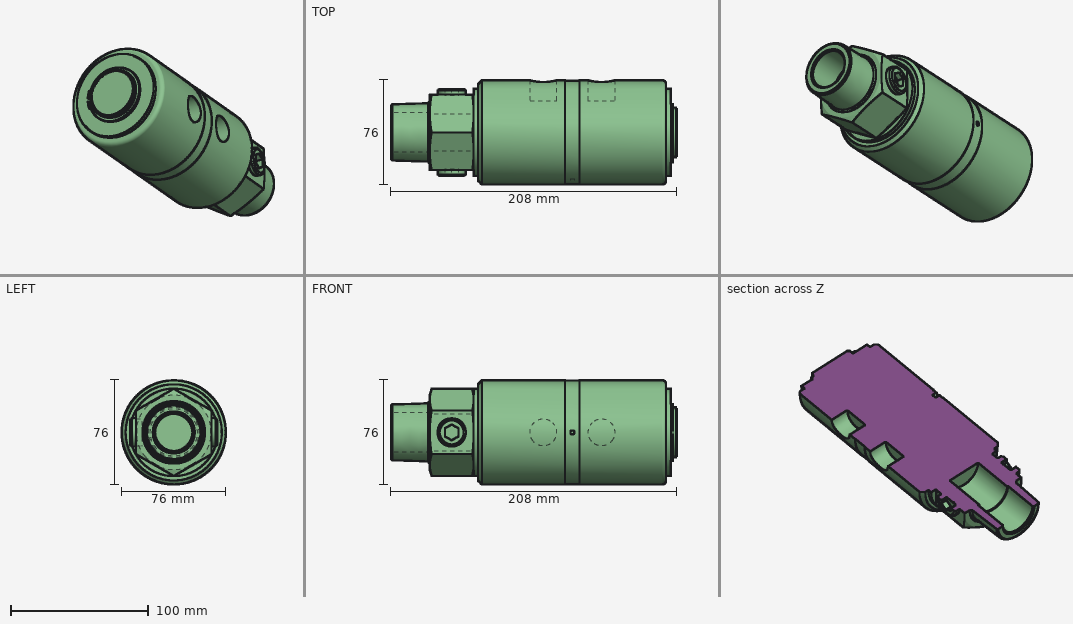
import cadquery as cq
import math


LENGTH = 208.0
COLLAR_START = 26.8
HEX_START = 28.0
HEX_END = 60.0
BARREL_START = 63.0
BARREL_END = 200.0
CAP_END = 203.3
RING_END = 205.0
SHAFT_STEP = 207.0

PIPE_TAPER = 1 / 16
PIPE_TIP_DIAMETER = 41.0
PIPE_TIP_CHAMFER = 1.0
COLLAR_DIAMETER = 45.6
PIPE_BASE_DIAMETER = PIPE_TIP_DIAMETER + PIPE_TAPER * COLLAR_START

BORE_MOUTH_DIAMETER = 30.6
BORE_ENTRY_DIAMETER = 28.63
BORE_DIAMETER = 27.0
BORE_MOUTH_DEPTH = 1.0
BORE_ENTRY_DEPTH = HEX_START
BORE_DEPTH = HEX_END

HEX_ACROSS_FLATS = 55.0
HEX_CORNER_DIAMETER = HEX_ACROSS_FLATS / math.cos(math.pi / 6)
HEX_FACE_DIAMETER = 54.4
HEX_FRONT_CHAMFER = 1.4
HEX_REAR_CHAMFER = 1.0

BARREL_DIAMETER = 76.0
BARREL_EDGE = 3.0
CAP_DIAMETER = 63.75

BAND_DIAMETER = 75.5
BAND_START = 126.5
BAND_END = 137.0
BAND_CENTER = (BAND_START + BAND_END) / 2
PIN_HOLE_DIAMETER = 3.0
PIN_HOLE_DEPTH = 4.0

PORT_DIAMETER = 19.5
PORT_DEPTH = 15.0
PORT_OFFSET = 21.2

PLUG_DIAMETER = 20.6
PLUG_TOP_DIAMETER = 17.48
PLUG_HEIGHT = 4.2
PLUG_CHAMFER_HEIGHT = 1.25
PLUG_OVERLAP = 1.0
SOCKET_ACROSS_FLATS = 10.0
SOCKET_DEPTH = 5.0
PLUG_X = (HEX_START + HEX_END) / 2

SHAFT_DIAMETER = 36.58
SHAFT_TIP_DIAMETER = 34.35
RING_DIAMETER = 41.6
EAR_REACH = 22.0
EAR_OUTER_Z = 6.6
EAR_OVERLAP = 2.0
RING_GAP = 3.0
EAR_HOLE_DIAMETER = 1.98


def rod(start, end, diameter):
    """Cylinder on the X axis."""
    return cq.Workplane("YZ").workplane(offset=start).circle(diameter / 2).extrude(end - start)


def turned(points):
    """Solid turned about the X axis from (x, diameter) points; the ends close on the axis."""
    outline = [(x, diameter / 2) for x, diameter in points]
    outline = [(points[0][0], 0)] + outline + [(points[-1][0], 0)]
    return cq.Workplane("XY").polyline(outline).close().revolve(360, (0, 0, 0), (1, 0, 0))


def pipe_end():
    tip_face = PIPE_TIP_DIAMETER - 2 * PIPE_TIP_CHAMFER
    return turned([
        (0, tip_face),
        (PIPE_TIP_CHAMFER, PIPE_TIP_DIAMETER + PIPE_TAPER * PIPE_TIP_CHAMFER),
        (COLLAR_START, PIPE_BASE_DIAMETER),
        (HEX_START, COLLAR_DIAMETER),
    ])


def hexagon():
    """Hexagon with corners on +Z and -Z, its corners chamfered at both ends."""
    prism = (
        cq.Workplane("YZ").workplane(offset=HEX_START)
        .transformed(rotate=(0, 0, 90))
        .polygon(6, HEX_CORNER_DIAMETER)
        .extrude(HEX_END - HEX_START)
    )
    envelope = turned([
        (HEX_START, HEX_FACE_DIAMETER),
        (HEX_START + HEX_FRONT_CHAMFER, HEX_CORNER_DIAMETER),
        (HEX_END - HEX_REAR_CHAMFER, HEX_CORNER_DIAMETER),
        (HEX_END, HEX_FACE_DIAMETER),
    ])
    return prism.intersect(envelope)


def barrel():
    body = rod(BARREL_START, BARREL_END, BARREL_DIAMETER)
    body = body.faces("<X").edges().chamfer(BARREL_EDGE)
    body = body.faces(">X").edges().fillet(BARREL_EDGE)
    band = rod(BAND_START, BAND_END, BAND_DIAMETER)
    return body.cut(rod(BAND_START, BAND_END, BARREL_DIAMETER)).union(band)


def radial_tool(x, side, diameter, depth):
    """Cutter sunk into the barrel from its +Y (side 1) or -Y (side -1) line."""
    tool = cq.Solid.makeCylinder(
        diameter / 2, depth, cq.Vector(x, side * BARREL_DIAMETER / 2, 0), cq.Vector(0, -side, 0)
    )
    return cq.Workplane(obj=tool)


def side_frame(side):
    """Workplane on a Y-facing hexagon flat at the plug centre, normal outward, local X along Z."""
    origin = (PLUG_X, side * HEX_ACROSS_FLATS / 2, 0)
    return cq.Workplane(cq.Plane(origin=origin, xDir=(0, 0, 1), normal=(0, side, 0)))


def plug(side):
    straight = PLUG_HEIGHT - PLUG_CHAMFER_HEIGHT
    body = side_frame(side).workplane(offset=-PLUG_OVERLAP).circle(PLUG_DIAMETER / 2)
    body = body.extrude(PLUG_OVERLAP + straight)
    top = (
        side_frame(side).workplane(offset=straight).circle(PLUG_DIAMETER / 2)
        .workplane(offset=PLUG_CHAMFER_HEIGHT).circle(PLUG_TOP_DIAMETER / 2)
        .loft(ruled=True)
    )
    return body.union(top)


def socket(side):
    corner_diameter = SOCKET_ACROSS_FLATS / math.cos(math.pi / 6)
    return (
        side_frame(side).workplane(offset=PLUG_HEIGHT)
        .polygon(6, corner_diameter)
        .extrude(-SOCKET_DEPTH)
    )


def retaining_ring():
    """Open ring behind the cap, with two drilled ears on the -Y side."""
    thickness = RING_END - CAP_END
    plane = cq.Workplane("YZ").workplane(offset=CAP_END)
    shaft_radius = SHAFT_DIAMETER / 2
    ears = (
        plane.center(-(shaft_radius + EAR_REACH) / 2, 0)
        .rect(EAR_REACH - shaft_radius + 2 * EAR_OVERLAP, 2 * EAR_OUTER_Z)
        .extrude(thickness)
        .intersect(rod(CAP_END, RING_END, 2 * EAR_REACH))
    )
    gap = plane.center(-EAR_REACH, 0).rect(EAR_REACH, RING_GAP).extrude(thickness)
    ear_hole_y = -(shaft_radius + EAR_REACH) / 2
    ear_hole_z = (EAR_OUTER_Z + RING_GAP / 2) / 2
    holes = (
        plane.pushPoints([(ear_hole_y, ear_hole_z), (ear_hole_y, -ear_hole_z)])
        .circle(EAR_HOLE_DIAMETER / 2)
        .extrude(thickness)
    )
    return rod(CAP_END, RING_END, RING_DIAMETER).union(ears).cut(gap).cut(holes)


def bore():
    return turned([
        (0, BORE_MOUTH_DIAMETER),
        (BORE_MOUTH_DEPTH, BORE_ENTRY_DIAMETER),
        (BORE_ENTRY_DEPTH, BORE_ENTRY_DIAMETER),
        (BORE_ENTRY_DEPTH, BORE_DIAMETER),
        (BORE_DEPTH, BORE_DIAMETER),
    ])


result = pipe_end().union(hexagon())
result = result.union(rod(HEX_END, BARREL_START, CAP_DIAMETER))
result = result.union(barrel())
result = result.union(rod(BARREL_END, CAP_END, CAP_DIAMETER))
result = result.union(retaining_ring())
result = result.union(rod(CAP_END, SHAFT_STEP, SHAFT_DIAMETER))
result = result.union(rod(SHAFT_STEP, LENGTH, SHAFT_TIP_DIAMETER))
result = result.cut(bore())

for side in (1, -1):
    result = result.union(plug(side)).cut(socket(side))

for port_x in (BAND_CENTER - PORT_OFFSET, BAND_CENTER + PORT_OFFSET):
    result = result.cut(radial_tool(port_x, 1, PORT_DIAMETER, PORT_DEPTH))

result = result.cut(radial_tool(BAND_CENTER, -1, PIN_HOLE_DIAMETER, PIN_HOLE_DEPTH))